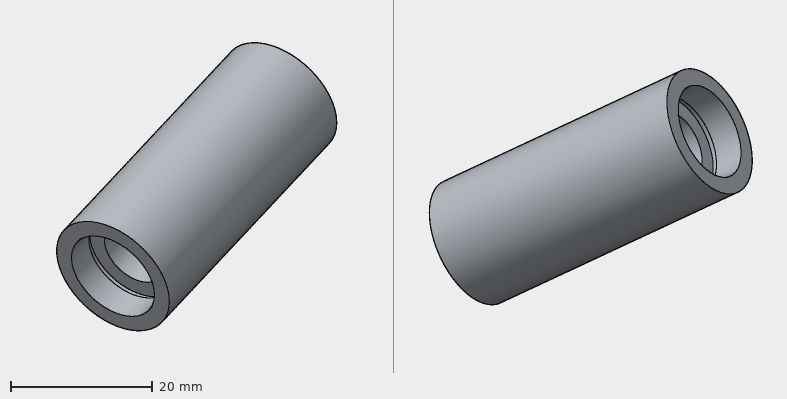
import cadquery as cq

length = 43.6
outer_diameter = 19.05
bore_diameter = 10.0
counterbore_diameter = 14.0
counterbore_depth = 5.5
undercut_diameter = 15.0
undercut_width = 1.0


def cylinder_along_y(diameter, start, depth):
    """Solid cylinder running from Y = start towards +Y."""
    plane = cq.Workplane("XZ", origin=(0, start, 0))
    return plane.circle(diameter / 2).extrude(-depth)


front_end = -length / 2

undercut_start = front_end + counterbore_depth - undercut_width
front_recess = cylinder_along_y(counterbore_diameter, front_end, counterbore_depth).union(
    cylinder_along_y(undercut_diameter, undercut_start, undercut_width)
)
back_recess = front_recess.mirror("XZ")

result = cylinder_along_y(outer_diameter, front_end, length)
result = result.cut(cylinder_along_y(bore_diameter, front_end, length))
result = result.cut(front_recess).cut(back_recess)